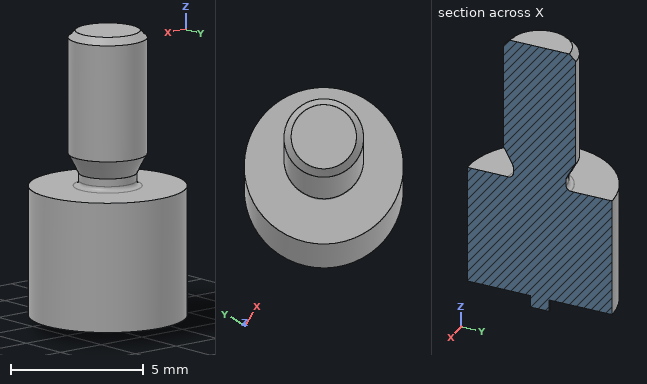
import cadquery as cq
import math

body_diameter = 6.0
body_height = 5.0

pin_diameter = 0.8
pin_length = 0.5

stud_diameter = 3.0
stud_length = 6.0
tip_chamfer = 0.27

neck_diameter = 2.2
neck_fillet = 0.2
neck_height = 0.5
undercut_length = 1.25

body_radius = body_diameter / 2
pin_radius = pin_diameter / 2
stud_radius = stud_diameter / 2
neck_radius = neck_diameter / 2
stud_top = body_height + stud_length


def fillet_midpoint():
    """Middle of the concave arc joining the body top to the neck, as (radius, height)."""
    offset = neck_fillet * (1 - math.sqrt(0.5))
    return (neck_radius + offset, body_height + offset)


def half_profile():
    """Half section of the part in the XZ plane, from the pin end up to the stud tip."""
    return (
        cq.Workplane("XZ")
        .moveTo(0, -pin_length)
        .lineTo(pin_radius, -pin_length)
        .lineTo(pin_radius, 0)
        .lineTo(body_radius, 0)
        .lineTo(body_radius, body_height)
        .lineTo(neck_radius + neck_fillet, body_height)
        .threePointArc(fillet_midpoint(), (neck_radius, body_height + neck_fillet))
        .lineTo(neck_radius, body_height + neck_height)
        .lineTo(stud_radius, body_height + undercut_length)
        .lineTo(stud_radius, stud_top - tip_chamfer)
        .lineTo(stud_radius - tip_chamfer, stud_top)
        .lineTo(0, stud_top)
        .close()
    )


result = half_profile().revolve(360, (0, 0, 0), (0, 1, 0))